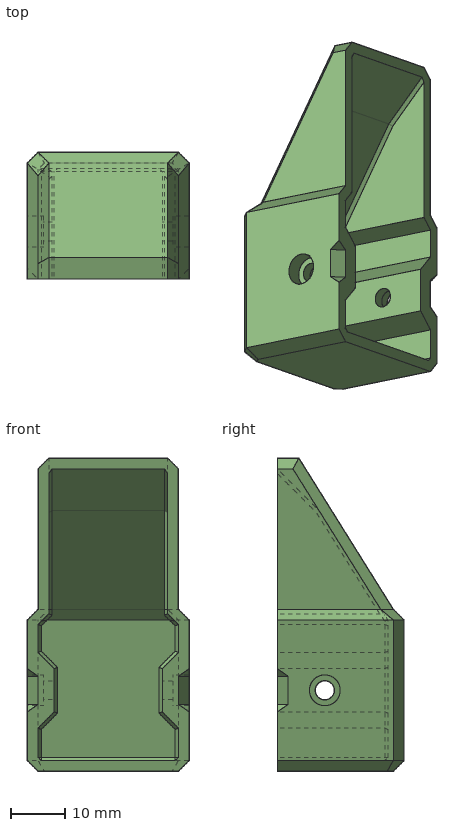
import cadquery as cq
import math

WALL = 2.0
BACK_WALL = 3.0
BEVEL = 2.0

BOX_HALF_WIDTH = 15.0
BOX_DEPTH = 23.5
SHOULDER_Z = 28.0

HOOD_HALF_WIDTH = BOX_HALF_WIDTH - BEVEL
HOOD_BASE_Z = SHOULDER_Z + BEVEL
HOOD_BASE_DEPTH = BOX_DEPTH - BEVEL
HOOD_TOP_DEPTH = 4.0
TOTAL_HEIGHT = 58.0

BOSS_CENTER_Z = 15.0
BOSS_HALF_WIDTH = 10.0
BOSS_FACE_HEIGHT = 8.0
CAVITY_CHAMFER = 0.6
FRONT_OVERRUN = 2.0

HOLE_Y = 8.8
HOLE_DIAMETER = 3.5
HEAD_DIAMETER = 5.7
HEAD_DEPTH = 3.0

NOTCH_SIZE = 2.0
NOTCH_LENGTH = 5.2
NOTCH_END_ANGLE = 45.0

HOOD_SLOPE = (HOOD_BASE_DEPTH - HOOD_TOP_DEPTH) / (TOTAL_HEIGHT - HOOD_BASE_Z)
SLOPE_STRETCH = math.hypot(1.0, HOOD_SLOPE)
OCTAGON_SHIFT = math.sqrt(2.0) - 1.0
BEVEL_CORNER_CUT = BEVEL * (1.0 - OCTAGON_SHIFT)


def plan_outline(half_width, depth, cut_x, cut_y):
    """Points of a horizontal section with its two rear corners cut off."""
    right = [(half_width, 0), (half_width, depth - cut_y), (half_width - cut_x, depth)]
    left = [(-x, y) for x, y in reversed(right)]
    return right + left


def outer_body():
    """Solid outside shape: bevelled box, shoulder step and sloped hood."""
    hood_cut_y = BEVEL * SLOPE_STRETCH
    box_section = plan_outline(BOX_HALF_WIDTH, BOX_DEPTH, BEVEL, BEVEL)
    sections = [
        (0.0, plan_outline(HOOD_HALF_WIDTH, HOOD_BASE_DEPTH, BEVEL_CORNER_CUT, BEVEL_CORNER_CUT)),
        (BEVEL, box_section),
        (SHOULDER_Z, box_section),
        (HOOD_BASE_Z, plan_outline(HOOD_HALF_WIDTH, HOOD_BASE_DEPTH, BEVEL, hood_cut_y)),
        (TOTAL_HEIGHT, plan_outline(HOOD_HALF_WIDTH, HOOD_TOP_DEPTH, BEVEL, hood_cut_y)),
    ]
    wires = [cq.Wire.makePolygon([cq.Vector(x, y, z) for x, y in points], close=True) for z, points in sections]
    body = cq.Workplane(obj=cq.Solid.makeLoft(wires, True))

    corner = (
        cq.Workplane("XZ")
        .moveTo(HOOD_HALF_WIDTH, TOTAL_HEIGHT - BEVEL)
        .line(0, BEVEL)
        .line(-BEVEL, 0)
        .close()
        .extrude(-HOOD_BASE_DEPTH)
    )
    return body.cut(corner).cut(corner.mirror("YZ"))


def box_outline(inset):
    """Right half of the cavity outline (x, z) in the box, with sides and floor moved in by inset."""
    corner_shift = inset * OCTAGON_SHIFT
    box_half = BOX_HALF_WIDTH - WALL
    hood_half = HOOD_HALF_WIDTH - WALL
    boss_rise = box_half - BOSS_HALF_WIDTH
    boss_low = BOSS_CENTER_Z - BOSS_FACE_HEIGHT / 2 - corner_shift
    boss_high = BOSS_CENTER_Z + BOSS_FACE_HEIGHT / 2 + corner_shift
    shoulder_z = SHOULDER_Z - WALL * OCTAGON_SHIFT - corner_shift
    return [
        (box_half - inset, WALL + inset),
        (box_half - inset, boss_low - boss_rise),
        (BOSS_HALF_WIDTH - inset, boss_low),
        (BOSS_HALF_WIDTH - inset, boss_high),
        (box_half - inset, boss_high + boss_rise),
        (box_half - inset, shoulder_z),
        (hood_half - inset, shoulder_z + box_half - hood_half),
        (hood_half - inset, HOOD_BASE_Z),
    ]


def hood_outline(inset):
    """Right half of the cavity outline (x, z) in the hood, with the sides moved in by inset."""
    half_width = HOOD_HALF_WIDTH - WALL - inset
    return [(half_width, HOOD_BASE_Z), (half_width, TOTAL_HEIGHT - WALL)]


def space_before_wall(outline, base_y, slope):
    """Cavity space in front of one flat rear wall, chamfered along the sides and floor.

    The wall is at y = base_y at the hood base and loses depth by slope per height.
    """

    def section(inset, rear_y):
        right = outline(inset)
        points = right + [(-x, z) for x, z in reversed(right)]
        return cq.Wire.makePolygon([cq.Vector(x, rear_y(z), z) for x, z in points], close=True)

    def wall_y(z):
        return base_y - slope * (z - HOOD_BASE_Z)

    setback = CAVITY_CHAMFER * math.hypot(1.0, slope)
    sections = [
        section(0, lambda z: -FRONT_OVERRUN),
        section(0, lambda z: wall_y(z) - setback),
        section(CAVITY_CHAMFER, wall_y),
    ]
    return cq.Workplane(obj=cq.Solid.makeLoft(sections, True))


def floor_corner():
    """Chamfer filling the right floor corner of the cavity, widening where it meets the rear chamfers."""

    def section(leg, y):
        corner = cq.Vector(BOX_HALF_WIDTH - WALL, y, WALL)
        points = [corner, corner + cq.Vector(0, 0, leg), corner - cq.Vector(leg, 0, 0)]
        return cq.Wire.makePolygon(points, close=True)

    back_y = BOX_DEPTH - BACK_WALL
    sections = [
        section(CAVITY_CHAMFER, -FRONT_OVERRUN),
        section(CAVITY_CHAMFER, back_y - CAVITY_CHAMFER),
        section(2 * CAVITY_CHAMFER, back_y),
    ]
    return cq.Workplane(obj=cq.Solid.makeLoft(sections, True))


def cavity():
    """Inside space, set one wall in from the outside, with inward bosses for the screws."""
    back_y = BOX_DEPTH - BACK_WALL
    slope_base_y = HOOD_BASE_DEPTH - WALL * SLOPE_STRETCH
    shoulder_slope = (back_y - slope_base_y) / (HOOD_BASE_Z - SHOULDER_Z)
    box_space = space_before_wall(box_outline, back_y, 0)
    shoulder_space = space_before_wall(box_outline, slope_base_y, shoulder_slope)

    roof_base_y = TOTAL_HEIGHT - WALL - HOOD_BASE_Z
    hood_space = space_before_wall(hood_outline, slope_base_y, HOOD_SLOPE)
    roof_space = space_before_wall(hood_outline, roof_base_y, 1.0)

    corner = floor_corner()
    box_space = box_space.intersect(shoulder_space).cut(corner).cut(corner.mirror("YZ"))
    return box_space.union(hood_space.intersect(roof_space))


def screw_holes():
    """Cross hole through both bosses with a head recess on each outside face."""
    axis = cq.Workplane("YZ").center(HOLE_Y, BOSS_CENTER_Z)
    hole = axis.circle(HOLE_DIAMETER / 2).extrude(BOX_HALF_WIDTH, both=True)
    head = axis.workplane(offset=BOX_HALF_WIDTH - HEAD_DEPTH).circle(HEAD_DIAMETER / 2).extrude(HEAD_DEPTH)
    return hole.union(head).union(head.mirror("YZ"))


def side_notch():
    """Diagonal notch in the right front edge, flaring out towards the edge."""
    floor_center = (BOX_HALF_WIDTH - NOTCH_SIZE / 2, NOTCH_SIZE / 2, BOSS_CENTER_Z)
    floor_plane = cq.Plane(origin=floor_center, xDir=(0, 0, 1), normal=(1, -1, 0))
    floor_width = NOTCH_SIZE * math.sqrt(2.0)
    edge_distance = floor_width / 2
    return (
        cq.Workplane(floor_plane)
        .rect(NOTCH_LENGTH, floor_width)
        .extrude(edge_distance, taper=-NOTCH_END_ANGLE)
    )


notch = side_notch()
result = outer_body().cut(cavity()).cut(screw_holes()).cut(notch).cut(notch.mirror("YZ"))